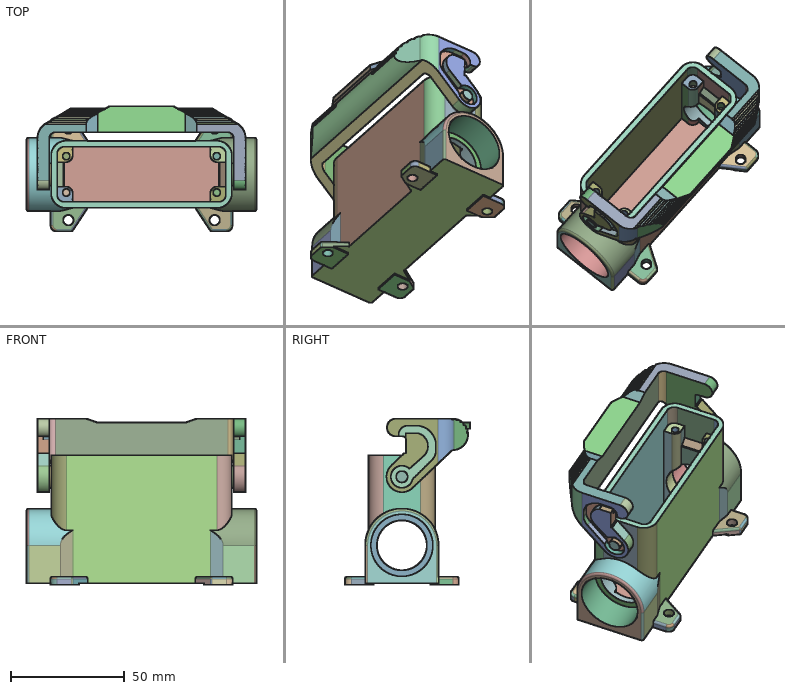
import cadquery as cq
import math

length = 101.0
body_length = 79.4
body_width = 29.5
body_bottom = 0.7
body_top = 57.0
body_corner = 6.6
cavity_corner = 3.2
wall = 2.6
floor_thickness = 2.6

entry_height = 17.4
entry_radius = 16.2
entry_edge_fillet = 1.0
entry_taper_start = 30.2
entry_taper_end = 35.8
bore_radius = 10.9
counterbore_radius = 13.6
counterbore_depth = 13.8
end_pad_face = 33.8
end_pad_ledge = 0.6
end_pad_top = 40.4

post_inner_x = 30.2
post_inner_y = 5.4
post_corner = 3.0
post_top = 47.4
post_hole_x = 33.0
post_hole_y = 8.0
post_hole_radius = 1.6
post_hole_depth = 6.1

foot_outer_x = 40.0
foot_tip_x = 30.4
foot_root_x = 23.6
foot_end_y = 25.0
foot_thickness = 3.6
foot_corner = 2.7
foot_tip_corner = 1.0
foot_edge_fillet = 1.0
foot_hole_x = 32.1
foot_hole_y = 20.1
foot_hole_radius = 2.2
foot_pad_inner_x = 27.4
foot_pad_inner_y = 12.4

lever_outer_x = 45.8
lever_inner_x = 40.4
lever_inner_corner = 2.6
lever_top = 73.0
pivot_z = 47.5
pivot_radius = 6.8
arm_angle = math.radians(44)
hook_radius = 3.9
hook_tip_y = -6.6
throat_y = 1.7
throat_bottom = 57.9
throat_fillet = 1.2
roll_radius = 7.0
roll_y = 22.1
lever_inner_y = 18.5
lever_shoulder = (41.3, 22.7)
lever_bevel_end_x = 30.8
lever_corner_start_y = 15.8
lever_plan_front_y = -8.1
spacer_radius = 4.9

recess_depth = 2.7
recess_ring_radius = 4.8
pin_radius = 2.5
recess_end_y = -1.4
recess_ceiling = 69.9
recess_back_y = 14.9
raised_top = 66.6
recess_hook_start = (recess_end_y, 65.9)
recess_hook_middle = (-0.3, 68.7)
recess_hook_end = (2.2, recess_ceiling)
recess_back_start = (6.8, recess_ceiling)
recess_back_middle = (12.4, 67.4)
recess_back_end = (recess_back_y, 61.8)
recess_bend_start = (recess_back_y, 59.1)
recess_bend_middle = (14.4, 56.7)
recess_bend_end = (13.0, 54.6)
recess_ring_outer = (4.7, 46.5)
recess_ring_inner = (3.3, 51.0)
raised_bend_start = (9.9, 56.9)
raised_bend_middle = (10.8, 63.6)
raised_bend_end = (7.3, raised_top)

grip_top = 71.3
grip_thickness = 2.8
grip_end_y = 30.0
grip_tip_x = 13.9
grip_floor_x = 19.2
grip_slope_end_x = 24.2
grip_flare_end_y = 24.2

serration_count = 6
serration_first_angle = 88
serration_step = 16
serration_radius = 0.45


def box(x_range, y_range, z_range):
    """Axis-aligned block from its limits."""
    size = [high - low for low, high in (x_range, y_range, z_range)]
    return cq.Workplane("XY").box(*size, centered=False).translate((x_range[0], y_range[0], z_range[0]))


def mirrored_x(solid):
    return solid.union(solid.mirror("YZ"))


def mirrored_xy(solid):
    return mirrored_x(solid.union(solid.mirror("XZ")))


def x_cylinder(radius, y, z, x_start, x_end):
    """Cylinder along X between two X positions."""
    return cq.Workplane("YZ", origin=(x_start, y, z)).circle(radius).extrude(x_end - x_start)


def rounded_block(inset, corner, bottom, top):
    """Body outline moved inward by an inset, with rounded vertical edges."""
    return (
        cq.Workplane("XY", origin=(0, 0, bottom))
        .rect(body_length - 2 * inset, body_width - 2 * inset)
        .extrude(top - bottom)
        .edges("|Z")
        .fillet(corner)
    )


def entry():
    """D-shaped cable entry at the +X end, narrowing into the body wall."""
    profile = (
        cq.Workplane("YZ")
        .moveTo(-entry_radius, body_bottom)
        .lineTo(-entry_radius, entry_height)
        .threePointArc((0, entry_height + entry_radius), (entry_radius, entry_height))
        .lineTo(entry_radius, body_bottom)
        .close()
        .extrude(length / 2)
    )
    profile = profile.faces(">X").edges("not(<Z)").fillet(entry_edge_fillet)
    half_body = body_width / 2
    plan = (
        cq.Workplane("XY")
        .polyline([
            (entry_taper_start, -half_body),
            (entry_taper_end, -entry_radius),
            (length / 2, -entry_radius),
            (length / 2, entry_radius),
            (entry_taper_end, entry_radius),
            (entry_taper_start, half_body),
        ])
        .close()
        .extrude(body_top)
    )
    return profile.intersect(plan)


def post():
    """Screw post in the +X +Y corner of the cavity."""
    outline = box(
        (post_inner_x, body_length / 2 - wall / 2),
        (post_inner_y, body_width / 2 - wall / 2),
        (body_bottom, post_top),
    )
    outline = outline.edges("|Z and <X and <Y").fillet(post_corner)
    hole = (
        cq.Workplane("XY", origin=(post_hole_x, post_hole_y, post_top - post_hole_depth))
        .circle(post_hole_radius)
        .extrude(post_hole_depth)
    )
    return outline.cut(hole).intersect(rounded_block(wall / 2, body_corner - wall / 2, body_bottom, body_top))


def end_pad():
    """Thickened end wall between the posts, with a 45 degree top and a narrow ledge."""
    cavity_end = body_length / 2 - wall
    half_width = body_width / 2 - body_corner
    ledge_z = end_pad_top - (cavity_end - end_pad_face - end_pad_ledge)
    return (
        cq.Workplane("XZ", origin=(0, half_width, 0))
        .polyline([
            (end_pad_face, body_bottom),
            (end_pad_face, ledge_z),
            (end_pad_face + end_pad_ledge, ledge_z),
            (cavity_end, end_pad_top),
            (cavity_end + wall / 2, end_pad_top),
            (cavity_end + wall / 2, body_bottom),
        ])
        .close()
        .extrude(2 * half_width)
    )


def foot():
    """Mounting foot at the +X +Y corner, with a raised pad below it."""
    plate = (
        cq.Workplane("XY")
        .polyline([
            (foot_outer_x, 0),
            (foot_outer_x, foot_end_y),
            (foot_tip_x, foot_end_y),
            (foot_root_x, body_width / 2),
            (foot_root_x, 0),
        ])
        .close()
        .extrude(foot_thickness)
        .edges("|Z and >X and >Y")
        .fillet(foot_corner)
        .edges(cq.selectors.NearestToPointSelector((foot_tip_x, foot_end_y, foot_thickness / 2)))
        .fillet(foot_tip_corner)
        .faces(">Z")
        .edges("not(<Y)")
        .fillet(foot_edge_fillet)
    )
    lower = box((foot_pad_inner_x, foot_outer_x), (foot_pad_inner_y, foot_end_y), (0, foot_thickness))
    upper = box((0, foot_outer_x), (foot_pad_inner_y, foot_end_y), (body_bottom, foot_thickness))
    hole = cq.Workplane("XY").center(foot_hole_x, foot_hole_y).circle(foot_hole_radius).extrude(foot_thickness)
    return plate.intersect(lower.union(upper)).cut(hole)


def housing():
    cavity_floor = body_bottom + floor_thickness
    solid = rounded_block(0, body_corner, body_bottom, body_top).union(mirrored_x(entry()))
    solid = solid.cut(rounded_block(wall, cavity_corner, cavity_floor, body_top))
    solid = solid.union(mirrored_xy(post())).union(mirrored_x(end_pad()))
    solid = solid.cut(x_cylinder(bore_radius, 0, entry_height, -length / 2, length / 2))
    counterbore = x_cylinder(counterbore_radius, 0, entry_height, length / 2 - counterbore_depth, length / 2)
    return solid.cut(mirrored_x(counterbore)).union(mirrored_xy(foot()))


def lever_profile():
    """Side profile of the lever: roll, hook and diagonal arm, across the full width."""
    tangent_y = pivot_radius * math.sin(arm_angle)
    tangent_z = pivot_radius * math.cos(arm_angle)
    arm_offset = pivot_radius / math.cos(arm_angle)
    ledge_y = (throat_bottom - pivot_z - arm_offset) / math.tan(arm_angle)
    roll_z = lever_top - roll_radius
    roll_bottom = roll_z - roll_radius
    hook_z = lever_top - hook_radius
    hook_bottom = hook_z - hook_radius
    hook_y = hook_tip_y + hook_radius
    return (
        cq.Workplane("YZ", origin=(-lever_outer_x, 0, 0))
        .moveTo(hook_y, lever_top)
        .lineTo(roll_y, lever_top)
        .threePointArc((roll_y + roll_radius, roll_z), (roll_y, roll_bottom))
        .lineTo(tangent_y, pivot_z - tangent_z)
        .threePointArc((-tangent_z, pivot_z - tangent_y), (-tangent_y, pivot_z + tangent_z))
        .lineTo(ledge_y, throat_bottom)
        .lineTo(throat_y, throat_bottom)
        .lineTo(throat_y, hook_bottom - throat_fillet)
        .tangentArcPoint((throat_y - throat_fillet, hook_bottom), relative=False)
        .lineTo(hook_y, hook_bottom)
        .threePointArc((hook_tip_y, hook_z), (hook_y, lever_top))
        .close()
        .extrude(2 * lever_outer_x)
    )


def lever_plan():
    """U-shaped plan of the lever with rounded and bevelled back corners."""
    back_y = roll_y + roll_radius
    outer = (
        cq.Workplane("XY")
        .moveTo(lever_outer_x, lever_plan_front_y)
        .lineTo(lever_outer_x, lever_corner_start_y)
        .tangentArcPoint(lever_shoulder, relative=False)
        .lineTo(lever_bevel_end_x, back_y)
        .lineTo(0, back_y)
        .lineTo(0, lever_plan_front_y)
        .close()
        .extrude(lever_top)
    )
    opening = box((-lever_inner_x, lever_inner_x), (2 * lever_plan_front_y, lever_inner_y), (0, lever_top))
    opening = opening.edges("|Z and >Y").fillet(lever_inner_corner)
    return mirrored_x(outer).cut(opening)


def arm_recess():
    """Curved recess in the +X arm, ending in a ring around the pivot pin."""
    floor_x = lever_outer_x - recess_depth
    recess_bottom = lever_top - 2 * hook_radius - throat_fillet
    band = (
        cq.Workplane("YZ", origin=(floor_x, 0, 0))
        .moveTo(recess_end_y, recess_bottom)
        .lineTo(*recess_hook_start)
        .threePointArc(recess_hook_middle, recess_hook_end)
        .lineTo(*recess_back_start)
        .threePointArc(recess_back_middle, recess_back_end)
        .lineTo(*recess_bend_start)
        .threePointArc(recess_bend_middle, recess_bend_end)
        .lineTo(*recess_ring_outer)
        .lineTo(0, pivot_z)
        .lineTo(*recess_ring_inner)
        .lineTo(*raised_bend_start)
        .threePointArc(raised_bend_middle, raised_bend_end)
        .lineTo(throat_y, raised_top)
        .lineTo(throat_y, recess_bottom)
        .close()
        .extrude(recess_depth)
    )
    ring = x_cylinder(recess_ring_radius, 0, pivot_z, floor_x, lever_outer_x)
    pin = x_cylinder(pin_radius, 0, pivot_z, floor_x, lever_outer_x)
    return band.union(ring).cut(pin)


def grip_block(bottom, top):
    """Finger grip outline, flaring from its tip to the inner face of the lever, between two heights."""
    return (
        cq.Workplane("XY", origin=(0, 0, bottom))
        .polyline([
            (-grip_tip_x, grip_end_y),
            (grip_tip_x, grip_end_y),
            (grip_slope_end_x, grip_flare_end_y),
            (grip_slope_end_x, lever_inner_y),
            (-grip_slope_end_x, lever_inner_y),
            (-grip_slope_end_x, grip_flare_end_y),
        ])
        .close()
        .extrude(top - bottom)
    )


def serrations():
    """Grooves along the roll, kept clear of the sloping flanks beside the grip."""
    roll_z = lever_top - roll_radius
    grooves = cq.Workplane("XY")
    for index in range(serration_count):
        angle = math.radians(serration_first_angle - index * serration_step)
        y = roll_y + roll_radius * math.cos(angle)
        z = roll_z + roll_radius * math.sin(angle)
        grooves = grooves.union(x_cylinder(serration_radius, y, z, grip_tip_x, lever_outer_x))
    return mirrored_x(grooves.cut(grip_block(grip_top, lever_top)))


def grip_dip():
    """Trapezoidal dip in the top of the roll above the finger grip."""
    return (
        cq.Workplane("XZ", origin=(0, grip_end_y, 0))
        .polyline([
            (-grip_slope_end_x, lever_top),
            (-grip_floor_x, grip_top),
            (grip_floor_x, grip_top),
            (grip_slope_end_x, lever_top),
        ])
        .close()
        .extrude(grip_end_y)
    )


def lever():
    solid = lever_profile().intersect(lever_plan())
    solid = solid.cut(serrations()).cut(grip_dip()).union(grip_block(grip_top - grip_thickness, grip_top))
    solid = solid.cut(mirrored_x(arm_recess()))
    spacer = x_cylinder(spacer_radius, 0, pivot_z, body_length / 2 - wall / 2, lever_inner_x)
    return solid.union(mirrored_x(spacer))


result = housing().union(lever())